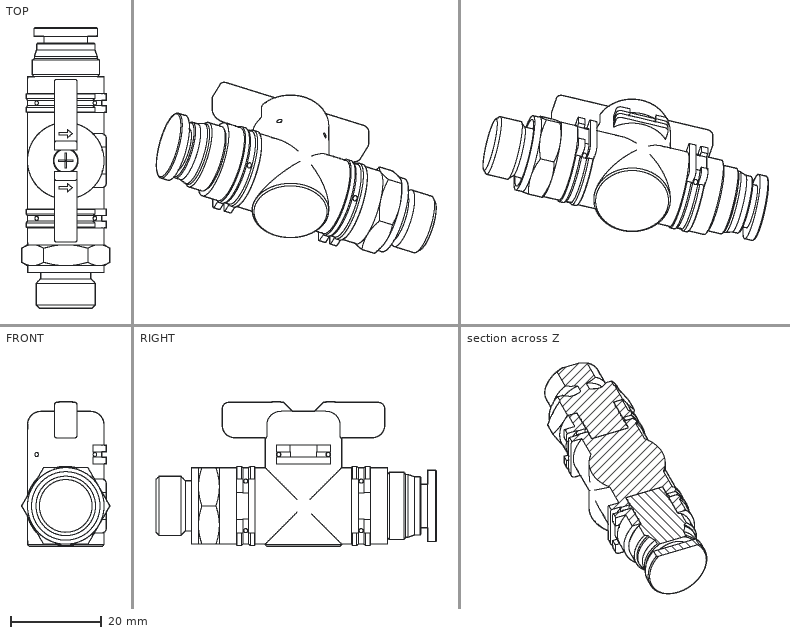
import cadquery as cq
import math

body_radius = 8.5
housing_half_length = 18.65
stem_top = 21.0
stem_bottom = -9.0
dome_radius = 3.0
stem_bottom_chamfer = 0.4

spigot_radius = 7.0
spigot_inner_end = 10.0

overlap = 1.0

arm_station = 12.8
stem_station = 11.4
rib_gap = 1.2
rib_width = 1.5
rib_reach = 9.0
rib_half_length = 6.0
rib_end_radius = 1.0
gap_floor = 8.0
rib_notch_width = 6.0
pin_hole_offset = 5.5
pin_hole_diameter = 0.9

band_radius = 8.8
band_edge_slope = 0.15
band_inner_slope = 0.4

handle_half_length = 18.05
handle_width = 5.0
handle_top = 23.0
handle_bottom = 15.1
handle_inner_end = 2.4
handle_top_corner = 1.5
handle_bottom_corner = 2.8
handle_edge_fillet = 0.5

arrow_station = 6.0
arrow_length = 2.9
arrow_head_length = 1.1
arrow_head_width = 1.9
arrow_shaft_width = 0.6
arrow_height = 0.2

screw_radius = 2.75
screw_groove_width = 0.15
screw_groove_depth = 0.2
cross_length = 3.3
cross_width = 0.4
cross_depth = cross_length / 2

push_flange_end = 29.55
push_flange_thickness = 2.0
push_flange_half_width = 7.05
push_flange_half_height = 7.95
push_edge_chamfer = 0.25
push_neck_radius = 4.85
push_nose_end = 26.1
push_nose_radius = 6.5
push_taper_start = 24.6
push_taper_end = 23.15
push_taper_radius = 7.0
push_shoulder_end = 22.3
push_flare_end = 22.65
push_shoulder_radius = 7.5
push_shoulder_chamfer = 0.45

hex_across_flats = 2 * body_radius
hex_end = 23.3
hex_chamfer_angle = 30.0
adapter_face = 24.85
recess_mouth_radius = 7.6
recess_cone_radius = 6.85
recess_cone_angle = 45.0
thread_neck_radius = 5.6
thread_start = 26.2
thread_radius = 6.6
thread_start_chamfer = 1.0
thread_end = 32.75
thread_end_chamfer = 0.75


def box_between(x_range, y_range, z_range):
    """Box spanning the given (low, high) ranges."""
    sizes = [high - low for low, high in (x_range, y_range, z_range)]
    corner = (x_range[0], y_range[0], z_range[0])
    return cq.Workplane("XY").box(*sizes, centered=False).translate(corner)


def cylinder_y(radius, y_start, y_end):
    """Cylinder about the Y axis."""
    return cq.Workplane("XZ", origin=(0, y_start, 0)).circle(radius).extrude(y_start - y_end)


def revolve_y(profile):
    """Turn a closed (radius, y) profile, drawn in the XY plane, about the Y axis."""
    return profile.close().revolve(360, (0, 0, 0), (0, 1, 0))


def along_y(solid):
    """Turn a shape built along Z so that its Z direction becomes Y."""
    return solid.rotate((0, 0, 0), (1, 0, 0), -90)


def tee():
    """Arms along Y and a domed stem along Z."""
    arms = cylinder_y(body_radius, -housing_half_length, housing_half_length)
    stem = (
        cq.Workplane("XY", origin=(0, 0, stem_bottom))
        .circle(body_radius)
        .extrude(stem_top - stem_bottom)
        .faces(">Z").edges().fillet(dome_radius)
        .faces("<Z").edges().chamfer(stem_bottom_chamfer)
    )
    return arms.union(stem)


def arm_band(direction):
    """Band on an arm; its outer edge is steep and its edge beside the gap slopes gently."""
    inner = rib_gap / 2
    outer = inner + rib_width
    root = body_radius - overlap
    profile = cq.Workplane("XY").polyline([
        (root, inner * direction),
        (body_radius, inner * direction),
        (band_radius, (inner + band_inner_slope) * direction),
        (band_radius, (outer - band_edge_slope) * direction),
        (body_radius, outer * direction),
        (root, outer * direction),
    ])
    return revolve_y(profile)


def clip_ribs():
    """Two ribs on the +X side, lying along Y and stacked in Z about the origin."""
    lengthwise = (-rib_half_length, rib_half_length)
    inside = math.sqrt(body_radius**2 - rib_half_length**2) - overlap
    rib = box_between((inside, rib_reach), lengthwise, (rib_gap / 2, rib_gap / 2 + rib_width))
    rib = rib.edges("|Z and >X").fillet(rib_end_radius)
    return rib.union(rib.mirror("XY"))


def rib_cuts():
    """Flat-floored slot between the ribs and a notch across the middle of the +Z rib."""
    depth_range = (gap_floor, rib_reach + overlap)
    inner = rib_gap / 2
    half_notch = rib_notch_width / 2
    slot = box_between(depth_range, (-rib_half_length, rib_half_length), (-inner, inner))
    notch = box_between(depth_range, (-half_notch, half_notch), (-inner, inner + rib_width))
    return slot.union(notch)


def on_arm(clip_shape, y):
    """Turn a clip shape so that its +Z rib becomes the outer rib of the arm at this Y."""
    angle = -math.copysign(90, y)
    return clip_shape.rotate((0, 0, 0), (1, 0, 0), angle).translate((0, y, 0))


def pin_holes(y_positions, z_positions):
    """Holes along X right through the housing."""
    centres = [(y, z) for y in y_positions for z in z_positions]
    return (
        cq.Workplane("YZ", origin=(-rib_reach - overlap, 0, 0))
        .pushPoints(centres)
        .circle(pin_hole_diameter / 2)
        .extrude(2 * (rib_reach + overlap))
    )


def handle_wings():
    """Bar with rounded edges; the gap in its middle opens upwards at 45 degrees above the dome."""
    bar = box_between(
        (-handle_width / 2, handle_width / 2),
        (-handle_half_length, handle_half_length),
        (handle_bottom, handle_top),
    )
    bar = bar.edges("|X and >Z").fillet(handle_top_corner)
    bar = bar.edges("|X and <Z").fillet(handle_bottom_corner)
    bar = bar.faces("<X or >X").edges().fillet(handle_edge_fillet)
    slope_end = handle_inner_end + handle_top - stem_top
    gap = (
        cq.Workplane("YZ", origin=(-handle_width / 2, 0, 0))
        .polyline([
            (-handle_inner_end, handle_bottom),
            (handle_inner_end, handle_bottom),
            (handle_inner_end, stem_top),
            (slope_end, handle_top),
            (-slope_end, handle_top),
            (-handle_inner_end, stem_top),
        ])
        .close()
        .extrude(handle_width)
    )
    return bar.cut(gap)


def arrow():
    """Arrow pointing along +X, centred on the origin."""
    tip = arrow_length / 2
    neck = tip - arrow_head_length
    return (
        cq.Workplane("XY")
        .polyline([
            (-tip, -arrow_shaft_width / 2),
            (neck, -arrow_shaft_width / 2),
            (neck, -arrow_head_width / 2),
            (tip, 0),
            (neck, arrow_head_width / 2),
            (neck, arrow_shaft_width / 2),
            (-tip, arrow_shaft_width / 2),
        ])
        .close()
        .extrude(arrow_height)
    )


def screw_recess():
    """Ring groove round the screw head and a cross whose arms deepen to the middle."""
    ring = (
        cq.Workplane("XY", origin=(0, 0, stem_top - screw_groove_depth))
        .circle(screw_radius)
        .circle(screw_radius - screw_groove_width)
        .extrude(2 * screw_groove_depth)
    )
    slot = (
        cq.Workplane("XZ", origin=(0, cross_width / 2, stem_top))
        .polyline([(-cross_length / 2, 0), (0, -cross_depth), (cross_length / 2, 0)])
        .close()
        .extrude(cross_width)
    )
    return ring.union(slot).union(slot.rotate((0, 0, 0), (0, 0, 1), 90))


def make_housing():
    body = tee().cut(screw_recess())
    for y in (-arm_station, arm_station):
        for direction in (-1, 1):
            body = body.union(arm_band(direction).translate((0, y, 0)))
        body = body.union(on_arm(clip_ribs(), y))
        body = body.cut(on_arm(rib_cuts(), y))
    body = body.union(clip_ribs().translate((0, 0, stem_station)))
    body = body.cut(rib_cuts().translate((0, 0, stem_station)))

    body = body.union(handle_wings())
    for y in (-arrow_station, arrow_station):
        body = body.union(arrow().translate((0, y, handle_top)))

    for side in (-1, 1):
        body = body.cut(cylinder_y(spigot_radius, side * spigot_inner_end, side * housing_half_length))
    body = body.cut(pin_holes((-pin_hole_offset, pin_hole_offset), (stem_station,)))
    body = body.cut(pin_holes((-arm_station, arm_station), (-pin_hole_offset, pin_hole_offset)))
    return body


def make_push_fitting():
    chamfered_radius = push_shoulder_radius - push_shoulder_chamfer
    flange_start = push_flange_end - push_flange_thickness
    barrel = revolve_y(cq.Workplane("XY").polyline([
        (0, spigot_inner_end),
        (spigot_radius, spigot_inner_end),
        (spigot_radius, housing_half_length),
        (chamfered_radius, housing_half_length),
        (push_shoulder_radius, housing_half_length + push_shoulder_chamfer),
        (push_shoulder_radius, push_shoulder_end),
        (push_taper_radius, push_flare_end),
        (push_taper_radius, push_taper_end),
        (push_nose_radius, push_taper_start),
        (push_nose_radius, push_nose_end - push_edge_chamfer),
        (push_nose_radius - push_edge_chamfer, push_nose_end),
        (push_neck_radius, push_nose_end),
        (push_neck_radius, flange_start),
        (0, flange_start),
    ]))
    flange = along_y(
        cq.Workplane("XY")
        .ellipse(push_flange_half_width, push_flange_half_height)
        .extrude(push_flange_thickness)
        .faces(">Z").edges().chamfer(push_edge_chamfer)
    )
    return barrel.union(flange.translate((0, flange_start, 0)))


def hex_nut():
    """Hexagon with corners on the X axis, both ends chamfered by cones that touch the flats."""
    corner_radius = hex_across_flats / 2 / math.cos(math.radians(30))
    drop = (corner_radius - body_radius) * math.tan(math.radians(hex_chamfer_angle))
    prism = (
        cq.Workplane("XZ", origin=(0, -housing_half_length, 0))
        .polygon(6, 2 * corner_radius)
        .extrude(hex_end - housing_half_length)
    )
    envelope = revolve_y(cq.Workplane("XY").polyline([
        (0, -housing_half_length),
        (body_radius, -housing_half_length),
        (corner_radius, -housing_half_length - drop),
        (corner_radius, -hex_end + drop),
        (body_radius, -hex_end),
        (0, -hex_end),
    ]))
    return prism.intersect(envelope)


def make_threaded_adapter():
    """Spigot, hexagon and collar, then a neck and the threaded end.

    The recess in the collar is a cone that runs smoothly into a hollow arc at the neck.
    """
    cone_angle = math.radians(recess_cone_angle)
    cone_end = -adapter_face + (recess_mouth_radius - recess_cone_radius) / math.tan(cone_angle)
    hollow_radius = (recess_cone_radius - thread_neck_radius) / (1 + math.cos(cone_angle))
    hollow_radial = thread_neck_radius + hollow_radius
    hollow_y = cone_end - hollow_radius * math.sin(cone_angle)
    arc_middle = (cone_angle + math.pi) / 2
    turned = revolve_y(
        cq.Workplane("XY")
        .moveTo(0, -spigot_inner_end)
        .lineTo(spigot_radius, -spigot_inner_end)
        .lineTo(spigot_radius, -housing_half_length)
        .lineTo(body_radius, -housing_half_length)
        .lineTo(body_radius, -adapter_face)
        .lineTo(recess_mouth_radius, -adapter_face)
        .lineTo(recess_cone_radius, cone_end)
        .threePointArc(
            (
                hollow_radial + hollow_radius * math.cos(arc_middle),
                hollow_y + hollow_radius * math.sin(arc_middle),
            ),
            (thread_neck_radius, hollow_y),
        )
        .lineTo(thread_neck_radius, -thread_start)
        .lineTo(thread_radius, -thread_start - thread_start_chamfer)
        .lineTo(thread_radius, -thread_end + thread_end_chamfer)
        .lineTo(thread_radius - thread_end_chamfer, -thread_end)
        .lineTo(0, -thread_end)
    )
    return turned.union(hex_nut())


housing = make_housing()
push_fitting = make_push_fitting()
threaded_adapter = make_threaded_adapter()

result = cq.Compound.makeCompound([
    housing.val(),
    push_fitting.val(),
    threaded_adapter.val(),
])